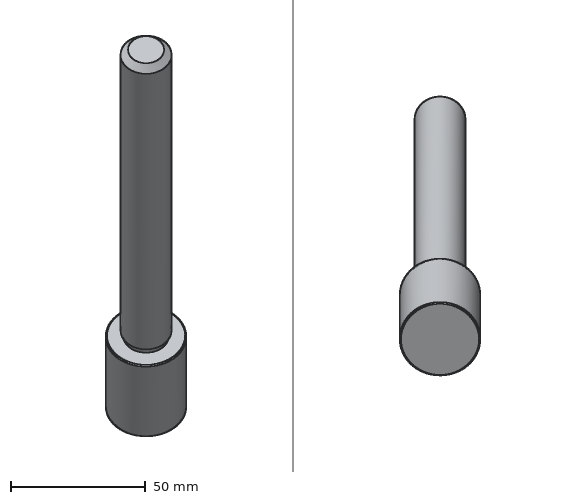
import cadquery as cq

total_length = 200.0

head_diameter = 30.0
head_length = 40.0
head_chamfer = 0.5

shank_diameter = 19.0
tip_chamfer = 2.8

groove_diameter = 17.0
groove_width = 3.0


def cylinder(diameter, bottom, length):
    """Upright cylinder on the Z axis."""
    return cq.Workplane("XY").workplane(offset=bottom).circle(diameter / 2).extrude(length)


shank_bottom = head_length + groove_width
shank_length = total_length - shank_bottom

head = cylinder(head_diameter, 0, head_length).edges().chamfer(head_chamfer)
groove_core = cylinder(groove_diameter, head_length, groove_width)
shank = cylinder(shank_diameter, shank_bottom, shank_length)
shank = shank.faces(">Z").edges().chamfer(tip_chamfer)

result = head.union(groove_core).union(shank)